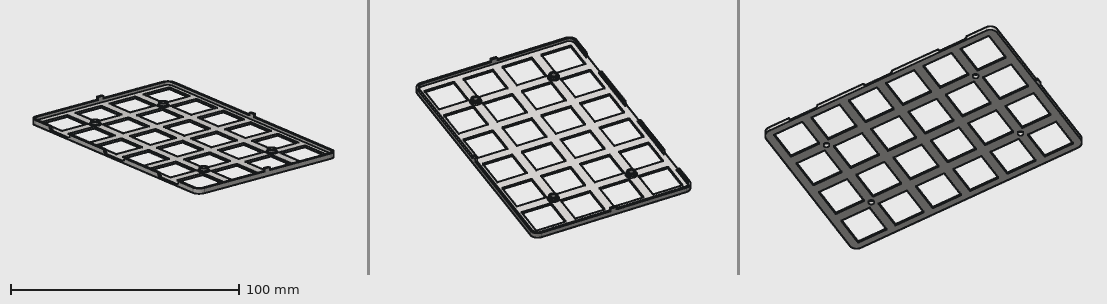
import cadquery as cq

length = 118.0
width = 78.0
rim_height = 2.5
rim_thickness = 1.0
corner_radius = 3.5
plate_thickness = 1.0

columns = 6
rows = 4
opening = 14.5
boss_spacing_x = 76.2
pitches_between_bosses = 4
pitch = boss_spacing_x / pitches_between_bosses

boss_diameter = 4.0
boss_hole_diameter = 2.5
boss_top = rim_height
foot_diameter = 5.2
foot_height = 0.5
boss_spacing_y = 2 * pitch

total_height = 3.9
tab_length = 3.1
tab_bottom = plate_thickness
tab_thickness = rim_thickness
tab_fillet = 0.5

notch_floor = plate_thickness
notch_length = 14.4
notch_corner_radius = 1.2
notch_spacing = 2 * pitch


def rounded_block(size_x, size_y, radius, height):
    """Upright block with rounded vertical corners, standing on z = 0."""
    return cq.Workplane("XY").rect(size_x, size_y).extrude(height).edges("|Z").fillet(radius)


def tray():
    """Flat plate enclosed by a raised rim."""
    cavity = rounded_block(
        length - 2 * rim_thickness,
        width - 2 * rim_thickness,
        corner_radius - rim_thickness,
        rim_height,
    ).translate((0, 0, plate_thickness))
    return rounded_block(length, width, corner_radius, rim_height).cut(cavity)


def key_openings():
    return (
        cq.Workplane("XY")
        .rarray(pitch, pitch, columns, rows)
        .rect(opening, opening)
        .extrude(plate_thickness)
    )


def boss():
    """Round post reaching through the plate, with a conical foot on the plate's top face."""
    post = cq.Workplane("XY").circle(boss_diameter / 2).extrude(boss_top)
    foot = cq.Solid.makeCone(
        foot_diameter / 2,
        boss_diameter / 2,
        foot_height,
        pnt=cq.Vector(0, 0, plate_thickness),
    )
    return post.union(cq.Workplane(foot))


def boss_hole():
    return cq.Workplane("XY").circle(boss_hole_diameter / 2).extrude(boss_top)


def front_notch(center_x):
    """Notch through the front wall, open at the top, with rounded lower corners."""
    height = rim_height - notch_floor
    return (
        cq.Workplane("XY")
        .box(notch_length, rim_thickness, height, centered=(True, False, False))
        .edges("|Y and <Z")
        .fillet(notch_corner_radius)
        .translate((center_x, -width / 2, notch_floor))
    )


def rim_tab():
    """Tab running along X with its two upper ends rounded."""
    return (
        cq.Workplane("XY")
        .box(tab_length, tab_thickness, total_height - tab_bottom, centered=(True, True, False))
        .edges("|Y and >Z")
        .fillet(tab_fillet)
        .translate((0, 0, tab_bottom))
    )


result = tray().cut(key_openings())
for x in (-boss_spacing_x / 2, boss_spacing_x / 2):
    for y in (-boss_spacing_y / 2, boss_spacing_y / 2):
        result = result.union(boss().translate((x, y, 0)))
        result = result.cut(boss_hole().translate((x, y, 0)))

for step in (-1, 0, 1):
    result = result.cut(front_notch(step * notch_spacing))

side_tab_x = (length - tab_thickness) / 2
back_tab_y = (width - tab_thickness) / 2
side_tab = rim_tab().rotate((0, 0, 0), (0, 0, 1), 90)
for side in (-1, 1):
    result = result.union(side_tab.translate((side * side_tab_x, 0, 0)))
result = result.union(rim_tab().translate((0, back_tab_y, 0)))